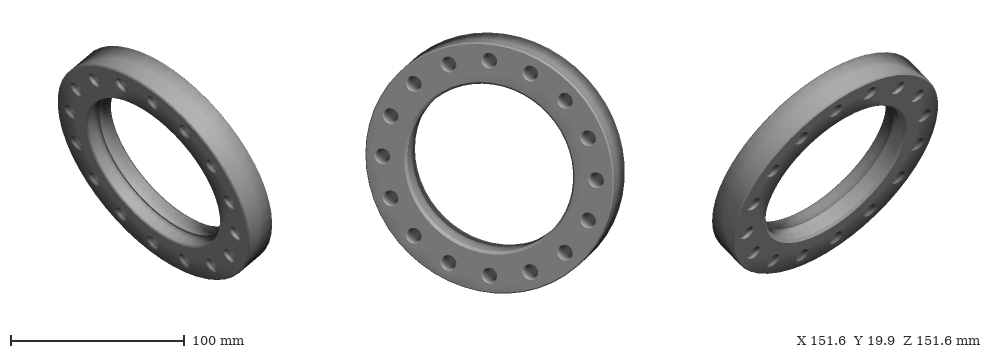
import cadquery as cq

outer_diameter = 151.6
thickness = 19.9
rim_chamfer = 0.8

bore_diameter = 101.0
bore_chamfer = 1.5
recess_diameter = 104.0
recess_depth = 9.4
recess_chamfer = 0.8

bolt_count = 16
bolt_circle_diameter = 130.2
bolt_hole_diameter = 8.3
bolt_hole_chamfer = 0.6

front_y = -thickness / 2


def front_disc(diameter, depth):
    """Disc from the -Y face, reaching `depth` into the ring."""
    return (
        cq.Workplane("XZ", origin=(0, front_y, 0))
        .circle(diameter / 2)
        .extrude(-depth)
    )


def ring_body():
    """Plain disc with both rims chamfered."""
    return front_disc(outer_diameter, thickness).edges().chamfer(rim_chamfer)


def chamfer_cone(diameter, chamfer):
    """Cone frustum on the -Y face that chamfers a hole of the given diameter."""
    return (
        cq.Workplane("XZ", origin=(0, front_y, 0))
        .circle(diameter / 2 + chamfer)
        .workplane(offset=-chamfer)
        .circle(diameter / 2)
        .loft()
    )


def stepped_bore():
    """Through bore chamfered at the +Y face, with a wider, chamfered recess in the -Y face."""
    return (
        front_disc(bore_diameter, thickness)
        .union(chamfer_cone(bore_diameter, bore_chamfer).mirror("XZ"))
        .union(front_disc(recess_diameter, recess_depth))
        .union(chamfer_cone(recess_diameter, recess_chamfer))
    )


def bolt_hole():
    """Through hole on the ring axis, chamfered at both ends."""
    mouth = chamfer_cone(bolt_hole_diameter, bolt_hole_chamfer)
    return front_disc(bolt_hole_diameter, thickness).union(mouth).union(mouth.mirror("XZ"))


result = ring_body().cut(stepped_bore())
for index in range(bolt_count):
    angle = index * 360 / bolt_count
    hole = bolt_hole().translate((bolt_circle_diameter / 2, 0, 0))
    result = result.cut(hole.rotate((0, 0, 0), (0, 1, 0), angle))